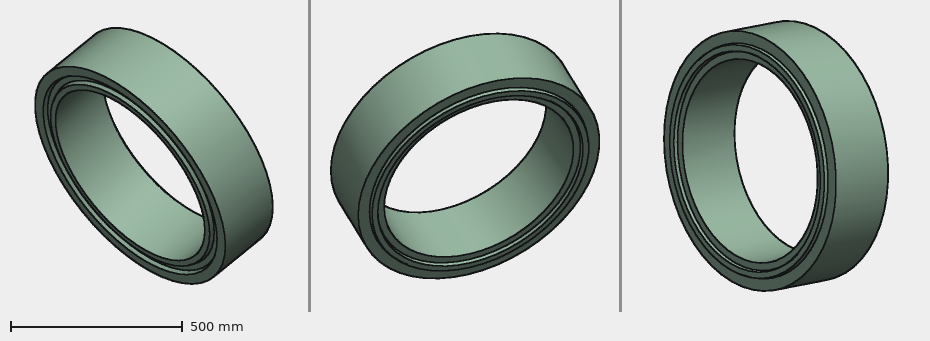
import cadquery as cq

outer_radius = 383.0
bore_radius = 300.0
total_width = 212.0
tongue_height = 11.5
body_width = total_width - tongue_height

joint_radius = 335.0
groove_depth = 14.0
groove_mouth_width = 30.0
groove_floor_width = 20.0
tongue_base_width = 24.5
tongue_tip_width = 18.5

front_y = -total_width / 2
back_y = front_y + body_width


def tapered_ring(start_y, end_y, start_width, end_width):
    """Ring of trapezoidal section, centred on the joint radius."""
    return (
        cq.Workplane("XY")
        .polyline([
            (joint_radius - start_width / 2, start_y),
            (joint_radius + start_width / 2, start_y),
            (joint_radius + end_width / 2, end_y),
            (joint_radius - end_width / 2, end_y),
        ])
        .close()
        .revolve(360, (0, 0, 0), (0, 1, 0))
    )


body = (
    cq.Workplane("XZ", origin=(0, front_y, 0))
    .circle(outer_radius)
    .circle(bore_radius)
    .extrude(-body_width)
)
groove = tapered_ring(front_y, front_y + groove_depth, groove_mouth_width, groove_floor_width)
tongue = tapered_ring(back_y, back_y + tongue_height, tongue_base_width, tongue_tip_width)

result = body.cut(groove).union(tongue)